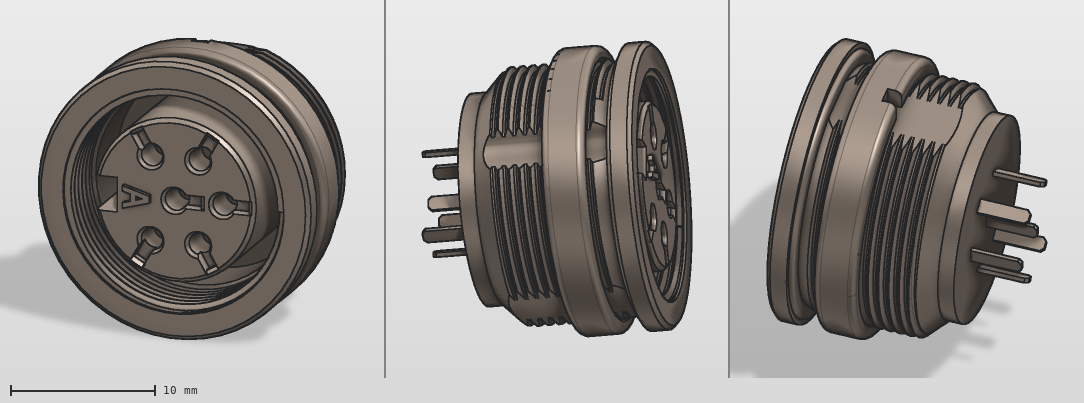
import cadquery as cq
import math


flange_dia = 20
flange_thickness = 1.5
flange_chamfer = 0.3
shoulder_dia = 19.2
shoulder_height = 0.4
shell_front = flange_thickness + shoulder_height
relief_end = 2.9
rear_dia = 14.8
rear_face = 12.8
cone_rear = 11.65
flat_height = 8.4

ten_pitches = 7.5
pitch = ten_pitches / 10
crest_radius = 9
root_radius = 8.6
outer_thread_start = 2.6
outer_thread_angle = 202.8
outer_thread_turns = 11
thread_root_width = 0.18
groove_overrun = 0.05
flank_slope = math.tan(math.radians(30))

groove_radius = 2.05
groove_floor = 8.22

nut_dia = 20
nut_front = 3.4
nut_rear = 6.4
nut_fillet = 0.5
nut_mouth_dia = 18.3
nut_bore_dia = 17
nut_mouth_end = nut_front + (nut_mouth_dia - nut_bore_dia) / 2
nut_slot_width = 1.2
nut_slot_depth = 1

opening_dia = 16.2
opening_depth = 0.2
inner_crest_radius = 7.6
inner_root_radius = 8.05
inner_thread_turns = 5
inner_thread_length = 4.2
bore_dia = 14.7
bore_depth = 9

insert_dia = 11.8
insert_front = 0.2
insert_chamfer = 0.3
keyway_width = 2.5
keyway_floor = 4.2
keyway_depth = 6
contact_circle_radius = 3.5
contact_angles = [0, 60, 120, 240, 300]
hole_dia = 1.55
hole_chamfer = 0.2
hole_chamfer_depth = 0.35
hole_depth = 3
slot_width = 1
slot_length = 1.85
slot_chamfer = 0.35
slot_depth = 0.95

blade_width = 1
blade_thickness = 0.32
blade_tip = 16.48
blade_tip_chamfer = 0.25

mark_front = -0.15


def turned(profile):
    """Revolve (radius, y) points about the Y axis."""
    return cq.Workplane("XY").polyline(profile).close().revolve(360, (0, 0, 0), (0, 1, 0))


def cylinder(dia, y_start, y_end):
    return cq.Workplane("XZ", origin=(0, y_start, 0)).circle(dia / 2).extrude(y_start - y_end)


def block(x_range, y_range, z_range):
    size = [high - low for low, high in (x_range, y_range, z_range)]
    low_corner = (x_range[0], y_range[0], z_range[0])
    return cq.Workplane("XY").box(*size, centered=False).translate(low_corner)


def cut_thread(body, root, crest, start_y, start_angle, turns):
    """Cut a right-hand thread groove turn by turn, narrow at the root and wide at the crest."""
    overrun = math.copysign(groove_overrun, crest - root)
    mouth = crest + overrun
    root_half = thread_root_width / 2
    mouth_half = root_half + abs(mouth - root) * flank_slope
    one_turn = (
        cq.Workplane("XZ")
        .polyline([(root, -root_half), (root, root_half), (mouth, mouth_half), (mouth, -mouth_half)])
        .close()
        .sweep(cq.Workplane(cq.Wire.makeHelix(pitch, pitch, root)), isFrenet=True)
        .rotate((0, 0, 0), (0, 0, 1), start_angle)
        .rotate((0, 0, 0), (1, 0, 0), -90)
    )
    for turn in range(turns):
        body = body.cut(one_turn.translate((0, start_y + turn * pitch, 0)), clean=False)
    return body


def make_shell():
    rear_radius = rear_dia / 2
    shell = turned([
        (0, 0),
        (root_radius, 0),
        (root_radius, shell_front),
        (crest_radius, relief_end),
        (crest_radius, cone_rear - (crest_radius - rear_radius)),
        (rear_radius, cone_rear),
        (rear_radius, rear_face),
        (0, rear_face),
    ])
    shell = shell.intersect(block((-flange_dia, flange_dia), (0, rear_face), (-flat_height, flat_height)))
    groove = cylinder(2 * groove_radius, 0, rear_face).translate((-groove_floor - groove_radius, 0, 0))
    return shell.cut(groove)


def make_flange():
    flange = cylinder(flange_dia, 0, flange_thickness).faces("<Y").chamfer(flange_chamfer)
    shoulder = cylinder(shoulder_dia, 0, shell_front).faces(">Y").edges().fillet(shoulder_height - 0.02)
    return flange.union(shoulder)


def make_nut():
    nut = cylinder(nut_dia, nut_front, nut_rear).edges().fillet(nut_fillet)
    mouth_radius = nut_mouth_dia / 2
    nut = nut.cut(turned([
        (0, nut_front),
        (mouth_radius, nut_front),
        (nut_bore_dia / 2, nut_mouth_end),
        (nut_bore_dia / 2, nut_rear),
        (0, nut_rear),
    ]))
    half_slot = nut_slot_width / 2
    slot = block((-half_slot, half_slot), (nut_rear - nut_slot_depth, nut_rear), (0, nut_dia))
    return nut.cut(slot)


def make_opening():
    """Ring-shaped opening around the insert."""
    bore_radius = bore_dia / 2
    insert_radius = insert_dia / 2
    thread_end = opening_depth + inner_thread_length
    opening = turned([
        (0, 0),
        (opening_dia / 2, 0),
        (opening_dia / 2, opening_depth),
        (inner_crest_radius, opening_depth),
        (inner_crest_radius, thread_end),
        (bore_radius, thread_end + inner_crest_radius - bore_radius),
        (bore_radius, bore_depth),
        (insert_radius, bore_depth),
        (insert_radius, insert_front + insert_chamfer),
        (insert_radius - insert_chamfer, insert_front),
        (0, insert_front),
    ])
    return opening.rotate((0, 0, 0), (0, 1, 0), 45)


def make_contact_hole():
    """Hole on the Y axis with a slot towards +X, open at the insert face."""
    hole_end = insert_front + hole_depth
    slot_end = insert_front + slot_depth
    radius = hole_dia / 2
    hole = turned([
        (0, insert_front),
        (radius + hole_chamfer, insert_front),
        (radius, insert_front + hole_chamfer_depth),
        (radius, hole_end),
        (0, hole_end),
    ])
    slot = (
        cq.Workplane("XY", origin=(0, 0, -slot_width / 2))
        .polyline([
            (0, insert_front),
            (slot_length + slot_chamfer, insert_front),
            (slot_length, insert_front + slot_chamfer),
            (slot_length, slot_end),
            (0, slot_end),
        ])
        .close()
        .extrude(slot_width)
    )
    return hole.union(slot)


def make_blade():
    """Solder blade on the Y axis, thin along X, rooted inside the rear wall."""
    blade = block((-blade_thickness / 2, blade_thickness / 2), (bore_depth, blade_tip),
                  (-blade_width / 2, blade_width / 2))
    return blade.faces(">Y").edges("|X").chamfer(blade_tip_chamfer)


def at_contacts(feature):
    """Copies of a feature at the centre and around the contact circle, turned outwards."""
    copies = [feature]
    for angle in contact_angles:
        outer = feature.translate((contact_circle_radius, 0, 0))
        copies.append(outer.rotate((0, 0, 0), (0, 1, 0), angle))
    return copies


def make_keyway():
    half_key = keyway_width / 2
    return block((-insert_dia / 2, -keyway_floor), (insert_front, keyway_depth), (-half_key, half_key))


def make_key_mark():
    """Raised A-shaped mark lying on its side, tip towards +X."""
    foot_x, bar_x, tip_x = -3.68, -3.12, -1.72
    mark = (
        cq.Workplane("XZ", origin=(0, insert_front, 0))
        .polyline([
            (foot_x, 0.82), (tip_x, 0.25), (tip_x, -0.25), (foot_x, -0.82),
            (foot_x, -0.42), (bar_x, -0.25), (bar_x, 0.25), (foot_x, 0.42),
        ])
        .close()
        .extrude(insert_front - mark_front)
    )
    eye = (
        cq.Workplane("XZ", origin=(0, insert_front, 0))
        .polyline([(-2.72, 0.15), (-2.25, 0), (-2.72, -0.15)])
        .close()
        .extrude(insert_front - mark_front)
    )
    return mark.cut(eye)


result = cut_thread(make_shell(), root_radius, crest_radius,
                    outer_thread_start, outer_thread_angle, outer_thread_turns)
result = result.union(make_flange()).cut(make_opening())
result = cut_thread(result, inner_root_radius, inner_crest_radius, opening_depth, 0, inner_thread_turns)
result = result.union(make_nut()).cut(make_keyway())
for hole in at_contacts(make_contact_hole()):
    result = result.cut(hole)
for blade in at_contacts(make_blade()):
    result = result.union(blade)
result = result.union(make_key_mark())